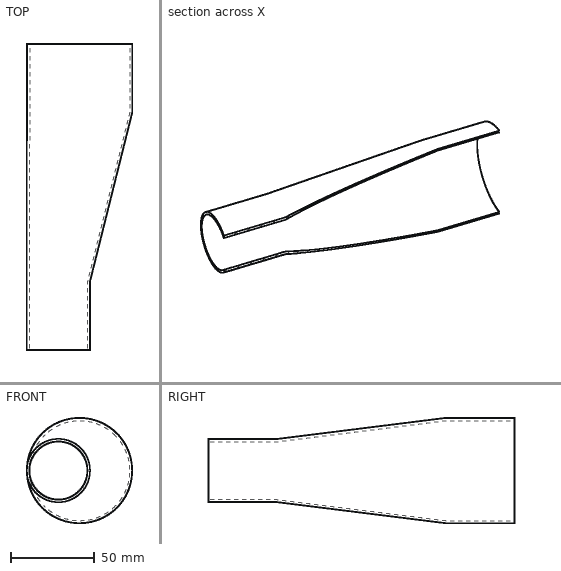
import cadquery as cq

total_length = 184.2
collar_length = 41.3
large_diameter = 63.5
small_diameter = 38.1
wall = 1.7

cone_length = total_length - 2 * collar_length
flush_x = -large_diameter / 2


def end_circle(diameter, y, inset):
    """Circular section at y, touching the flush side after an inward offset."""
    center_x = flush_x + diameter / 2
    section = cq.Workplane("XZ", origin=(center_x, y, 0))
    return section.circle(diameter / 2 - inset)


def reducer_body(inset):
    """Solid reducer with every radius reduced by the inset."""
    cone_start = -cone_length / 2
    cone_end = cone_length / 2
    small_collar = end_circle(small_diameter, -total_length / 2, inset).extrude(-collar_length)
    large_collar = end_circle(large_diameter, cone_end, inset).extrude(-collar_length)
    small_wire = end_circle(small_diameter, cone_start, inset).val()
    large_wire = end_circle(large_diameter, cone_end, inset).val()
    cone = cq.Workplane(cq.Solid.makeLoft([small_wire, large_wire], True))
    return small_collar.union(cone).union(large_collar)


result = reducer_body(0).cut(reducer_body(wall))